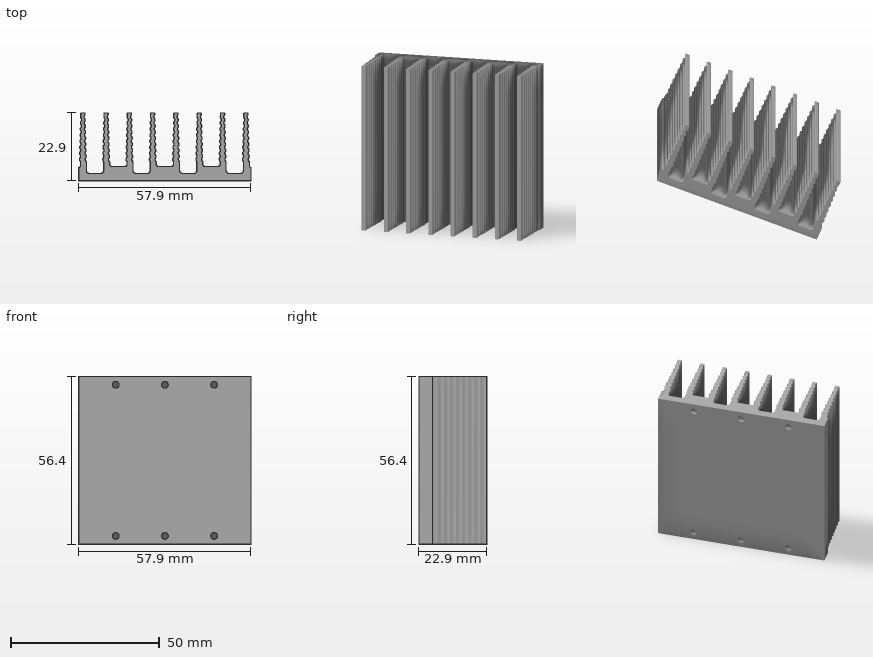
import cadquery as cq


width = 57.9
height = 22.9
length = 56.4

fin_count = 8
fin_pitch = 7.8
fin_centres = [fin_pitch * (i - (fin_count - 1) / 2) for i in range(fin_count)]
root_half = 1.05

deep_floor = 2.55
deep_corner_radius = 1.0
shallow_floor = 4.9
shallow_corner_radius = 0.6
channel_width = fin_pitch - 2 * root_half
shoulder_height = 4.5

wave_shift = -0.19
tip_half = 0.56
taper = 0.028
wave_rise = 0.185
wave_start = 6.7
wave_end = 22.0
right_half_waves = 15
left_half_waves = right_half_waves - 1
half_wave = (wave_end - wave_start) / right_half_waves
root_top = wave_start - half_wave / 2
tip_radius = height - (wave_end + half_wave / 2)

hole_diameter = 2.25
hole_depth = 3.5
hole_columns = 3
hole_rows = 2
hole_spacing_x = 16.5
hole_spacing_z = 50.75

LEFT = -1
RIGHT = 1
MID_RISE = 0.75
ARC_INSET = 1 - 0.5 ** 0.5


def extrude_profile(profile):
    return profile.close().extrude(length / 2, both=True)


def make_base():
    """Base plate including the straight fin roots, with the channels cut out."""
    wall_x = fin_centres[-1] + root_half
    half_width = width / 2
    shoulder_radius = half_width - wall_x
    shoulder_top = shoulder_height + shoulder_radius
    inset = shoulder_radius * ARC_INSET
    shoulder_middle = (wall_x + inset, shoulder_height + inset)
    base = extrude_profile(
        cq.Workplane("XY")
        .moveTo(-half_width, 0)
        .lineTo(half_width, 0)
        .lineTo(half_width, shoulder_height)
        .threePointArc(shoulder_middle, (wall_x, shoulder_top))
        .lineTo(wall_x, root_top)
        .lineTo(-wall_x, root_top)
        .lineTo(-wall_x, shoulder_top)
        .threePointArc((-shoulder_middle[0], shoulder_middle[1]), (-half_width, shoulder_height))
    )
    for i in range(fin_count - 1):
        is_deep = i % 2 == 0
        floor = deep_floor if is_deep else shallow_floor
        radius = deep_corner_radius if is_deep else shallow_corner_radius
        channel = (
            cq.Workplane("XY")
            .box(channel_width, height, length, centered=(True, False, True))
            .faces("<Y").edges("|Z").fillet(radius)
            .translate((fin_centres[i] + fin_pitch / 2, floor, 0))
        )
        base = base.cut(channel)
    return base


def make_half_fin(side, half_waves, first_sign):
    """One side of a fin centred on X = 0; first_sign is +1 if its lowest full half wave is a crest."""

    def flank(y, rise=0.0):
        """Point at height y, moved outward from the tapered mean flank by rise."""
        return (wave_shift + side * (tip_half + taper * (height - y) + rise), y)

    profile = (
        cq.Workplane("XY")
        .moveTo(wave_shift, root_top)
        .lineTo(side * root_half, root_top)
        .threePointArc(
            flank(wave_start - half_wave / 4, -first_sign * wave_rise * MID_RISE),
            flank(wave_start),
        )
    )

    y = wave_start
    sign = first_sign
    for _ in range(half_waves):
        profile = profile.threePointArc(
            flank(y + half_wave / 2, sign * wave_rise), flank(y + half_wave)
        )
        y += half_wave
        sign = -sign

    profile = profile.threePointArc(
        flank(y + half_wave / 4, wave_rise * MID_RISE), flank(y + half_wave / 2, wave_rise)
    )
    if half_waves < right_half_waves:
        profile = profile.lineTo(*flank(height - tip_radius, wave_rise))

    inset = tip_radius * ARC_INSET
    profile = profile.threePointArc(
        flank(height - inset, wave_rise - inset), flank(height, wave_rise - tip_radius)
    )
    return extrude_profile(profile.lineTo(wave_shift, height))


def make_fin():
    """Wavy fin whose valleys on one side face crests on the other."""
    left = make_half_fin(LEFT, left_half_waves, 1)
    right = make_half_fin(RIGHT, right_half_waves, -1)
    return left.union(right)


def drill_mounting_holes(body):
    holes = (
        cq.Workplane("XZ")
        .rarray(hole_spacing_x, hole_spacing_z, hole_columns, hole_rows)
        .circle(hole_diameter / 2)
        .extrude(-hole_depth)
    )
    return body.cut(holes)


heat_sink = make_base()
fin = make_fin()
for centre in fin_centres:
    heat_sink = heat_sink.union(fin.translate((centre, 0, 0)))
result = drill_mounting_holes(heat_sink.clean())